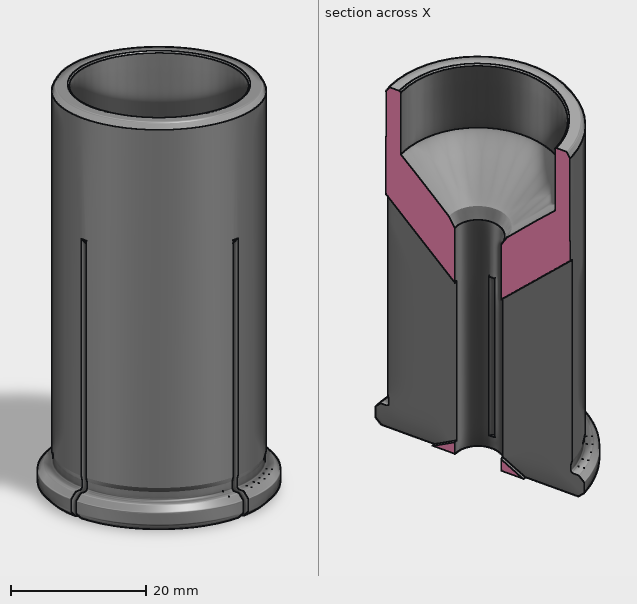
import cadquery as cq
import math

length = 64.0
body_radius = 31.75 / 2
body_edge_height = 1.0
body_edge_inset = 0.6
rounding_radius = 0.4

flange_radius = 36.0 / 2
flange_height = 4.0
flange_top_chamfer = 0.95
flange_bottom_chamfer = 1.0

neck_radius = 15.7
groove_top = 6.15
groove_slope_height = 0.7
groove_fillet = 0.45

bore_radius = 7.95 / 2
bore_mouth_radius = 10.0 / 2
socket_radius = 26.5 / 2
socket_edge = 0.25
socket_depth = 11.8
funnel_angle = 45.0
mouth_angle = 60.0

slot_count = 4
slot_width = 1.0
slot_top = 43.8
seal_height = 2.25
seal_slope = 60.0


def make_sleeve():
    """Revolve the wall section around Z."""
    socket_floor = length - socket_depth
    funnel_depth = (socket_radius - bore_mouth_radius) * math.tan(math.radians(funnel_angle))
    mouth_z = socket_floor - funnel_depth
    bore_top = mouth_z - (bore_mouth_radius - bore_radius) * math.tan(math.radians(mouth_angle))
    return (
        cq.Workplane("XZ")
        .moveTo(bore_radius, 0)
        .lineTo(flange_radius - flange_bottom_chamfer, 0)
        .lineTo(flange_radius, flange_bottom_chamfer)
        .lineTo(flange_radius, flange_height - flange_top_chamfer)
        .lineTo(flange_radius - flange_top_chamfer, flange_height)
        .lineTo(neck_radius + groove_fillet, flange_height)
        .radiusArc((neck_radius, flange_height + groove_fillet), groove_fillet)
        .lineTo(neck_radius, groove_top - groove_slope_height)
        .lineTo(body_radius, groove_top)
        .lineTo(body_radius, length - body_edge_height)
        .lineTo(body_radius - body_edge_inset, length)
        .lineTo(socket_radius + socket_edge, length)
        .lineTo(socket_radius, length - socket_edge)
        .lineTo(socket_radius, socket_floor)
        .lineTo(bore_mouth_radius, mouth_z)
        .lineTo(bore_radius, bore_top)
        .close()
        .revolve(360, (0, 0, 0), (0, 1, 0))
    )


def round_corner(solid, radius, height):
    """Round the circular edge that has the given radius and height."""
    tolerance = 0.0005

    def is_corner(edge):
        if edge.geomType() != "CIRCLE":
            return False
        same_radius = abs(edge.radius() - radius) < tolerance
        same_height = abs(edge.Center().z - height) < tolerance
        return same_radius and same_height

    return solid.edges().filter(is_corner).fillet(rounding_radius)


def make_slot():
    """One slot along +X: 45 degree upper end, sloped lower end leaving a sealing ring."""
    seal_tan = math.tan(math.radians(seal_slope))
    seal_clearance = 0.65
    reach = flange_radius + 0.65
    return (
        cq.Workplane("XZ")
        .polyline([
            (bore_radius - seal_clearance, seal_height + seal_clearance / seal_tan),
            (bore_radius + seal_height * seal_tan, 0),
            (reach, 0),
            (reach, slot_top + reach - body_radius),
            (bore_radius - seal_clearance, slot_top - body_radius + bore_radius - seal_clearance),
        ])
        .close()
        .extrude(slot_width / 2, both=True)
    )


rounded_corners = [
    (flange_radius, flange_bottom_chamfer),
    (flange_radius, flange_height - flange_top_chamfer),
    (flange_radius - flange_top_chamfer, flange_height),
    (body_radius - body_edge_inset, length),
]

result = make_sleeve()
for corner_radius, corner_height in rounded_corners:
    result = round_corner(result, corner_radius, corner_height)

slot = make_slot()
for index in range(slot_count):
    angle = index * 360 / slot_count
    result = result.cut(slot.rotate((0, 0, 0), (0, 0, 1), angle))